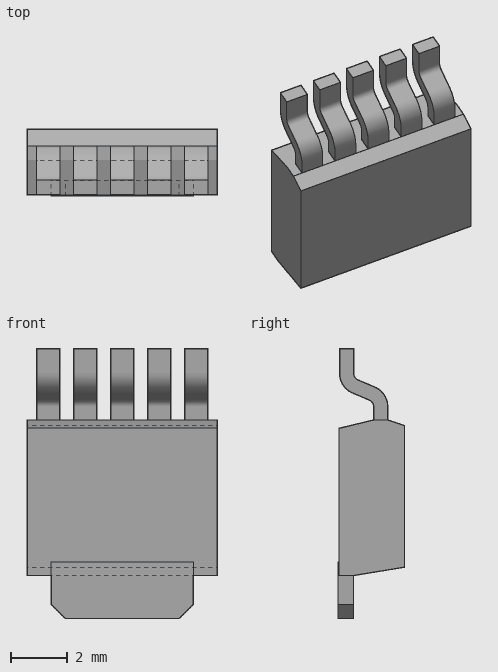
import cadquery as cq
import math


body_width = 6.7
body_depth = 2.31
body_bottom = 1.51
body_top = 6.99
back_top_drop = 0.2
front_top_drop = 0.29
back_bottom_rise = 0.29

tab_width = 5.0
tab_height = 1.995
tab_chamfer = 0.49
tab_front = 2.35
tab_back = 1.8

lead_count = 5
lead_pitch = 1.3
lead_width = 0.82
lead_thickness = 0.5
lead_back = 0.59
lead_foot_front = 2.29
lead_tip = 9.5
lead_foot_length = 0.87
bend_inner_radius = 0.25
bend_angle = math.radians(67)
lead_embed = 0.475

lead_front = lead_back + lead_thickness


def make_body():
    """Prism along X; its top ridge is as thick as the leads that leave it."""
    side_outline = [
        (0, body_bottom + back_bottom_rise),
        (0, body_top - back_top_drop),
        (-lead_back, body_top),
        (-lead_front, body_top),
        (-body_depth, body_top - front_top_drop),
        (-body_depth, body_bottom),
        (-tab_back, body_bottom),
    ]
    return cq.Workplane("YZ").polyline(side_outline).close().extrude(body_width / 2, both=True)


def make_tab():
    """Plate standing slightly proud of the body front, with its lower corners cut off."""
    plate = cq.Workplane("XY").box(
        tab_width, tab_front - tab_back, tab_height, centered=(True, False, False)
    )
    plate = plate.edges("|Y and <Z").chamfer(tab_chamfer)
    return plate.translate((0, -tab_front, 0))


def make_lead():
    """Strip swept along an S-shaped centre line, from inside the body to the foot."""
    start_y = -(lead_back + lead_thickness / 2)
    foot_y = -(lead_foot_front - lead_thickness / 2)
    bend_radius = bend_inner_radius + lead_thickness / 2

    bend_forward = bend_radius * (1 - math.cos(bend_angle))
    bend_rise = bend_radius * math.sin(bend_angle)
    slant_forward = (start_y - foot_y) - 2 * bend_forward
    slant_rise = slant_forward / math.tan(bend_angle)

    start_z = body_top - lead_embed
    foot_start_z = lead_tip - lead_foot_length
    slant_end_z = foot_start_z - bend_rise
    slant_start_z = slant_end_z - slant_rise
    first_bend_z = slant_start_z - bend_rise

    centre_line = (
        cq.Workplane("YZ")
        .moveTo(start_y, start_z)
        .lineTo(start_y, first_bend_z)
        .tangentArcPoint((start_y - bend_forward, slant_start_z), relative=False)
        .lineTo(foot_y + bend_forward, slant_end_z)
        .tangentArcPoint((foot_y, foot_start_z), relative=False)
        .lineTo(foot_y, lead_tip)
    )
    section = cq.Workplane("XY", origin=(0, start_y, start_z)).rect(lead_width, lead_thickness)
    return section.sweep(centre_line)


result = make_body().union(make_tab())
lead = make_lead()
for index in range(lead_count):
    lead_x = (index - (lead_count - 1) / 2) * lead_pitch
    result = result.union(lead.translate((lead_x, 0, 0)))